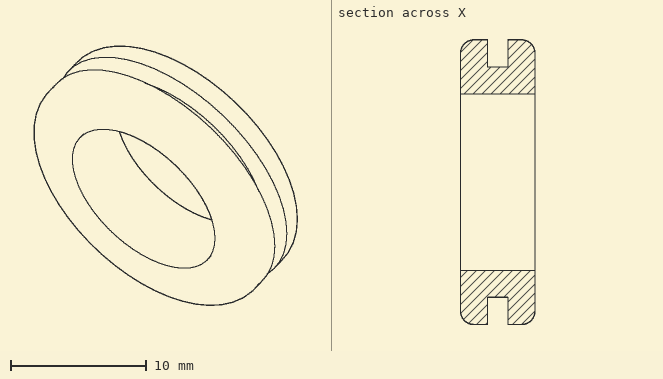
import cadquery as cq

outer_diameter = 21.0
groove_diameter = 17.0
bore_diameter = 13.0
flange_width = 2.0
groove_width = 1.5
rim_fillet = 1.0

total_width = 2 * flange_width + groove_width


def cylinder_along_y(diameter, width):
    """Cylinder on the Y axis, centred on the origin."""
    front_plane = cq.Workplane("XZ", origin=(0, -width / 2, 0))
    return front_plane.circle(diameter / 2).extrude(-width)


def make_body():
    """Full-width disc with both outer rims rounded."""
    disc = cylinder_along_y(outer_diameter, total_width)
    return disc.faces("<Y or >Y").edges().fillet(rim_fillet)


def make_groove():
    """Ring of material removed between the two flanges."""
    outside = cylinder_along_y(outer_diameter, groove_width)
    return outside.cut(cylinder_along_y(groove_diameter, groove_width))


def make_bore():
    """Through hole along the axis."""
    return cylinder_along_y(bore_diameter, total_width)


result = make_body().cut(make_groove()).cut(make_bore())